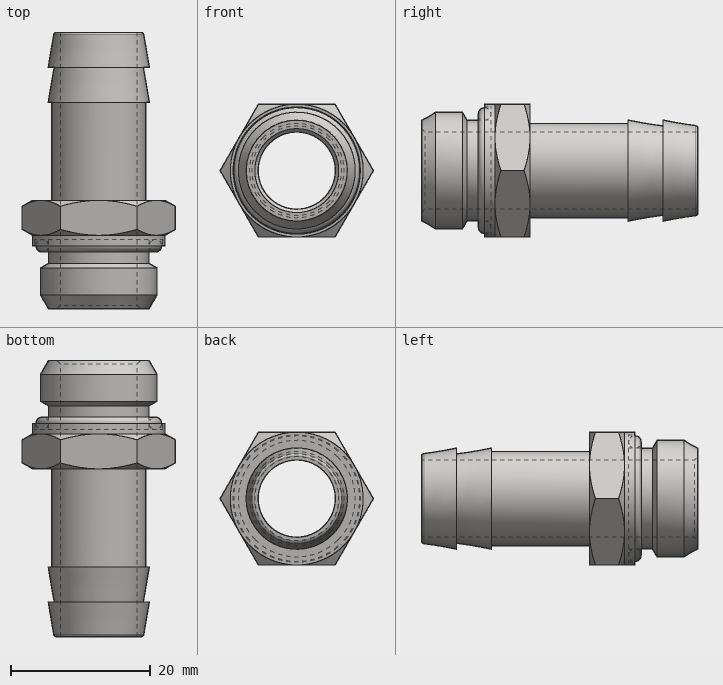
import cadquery as cq
import math


across_flats = 19.0
hex_length = 5.0
hex_chamfer_angle = 30.0
blank_allowance = 1.0
collar_radius = across_flats / 2
collar_length = 1.5

thread_radius = 8.35
neck_radius = 7.2
thread_end_y = -9.0
neck_length = 2.5
runout_angle = 30.0
lead_in_angle = 60.0

tail_length = 24.0
tail_radius = 6.75
barb_count = 2
barb_pitch = 5.0
barb_crest_radius = 7.25
barb_root_radius = 6.4
tip_round = 0.4

bore_radius = 5.5
bore_chamfer = 0.5

ring_section_radius = 0.9
ring_center_radius = neck_radius + ring_section_radius
groove_outer_radius = 9.1
groove_depth = ring_section_radius

hex_start_y = collar_length
hex_end_y = hex_start_y + hex_length
tail_end_y = hex_end_y + tail_length
thread_step = thread_radius - neck_radius
runout_length = thread_step * math.tan(math.radians(runout_angle))
lead_in_length = thread_step * math.tan(math.radians(lead_in_angle))


def revolve_about_y(profile):
    """Turn an outline, drawn as (radius, y), a full turn about the Y axis."""
    return profile.revolve(360, (0, 0, 0), (0, 1, 0))


def make_threaded_end():
    """Collar, neck and chamfered thread blank."""
    return revolve_about_y(
        cq.Workplane("XY")
        .moveTo(0, hex_start_y)
        .lineTo(collar_radius, hex_start_y)
        .lineTo(collar_radius, 0)
        .lineTo(neck_radius, 0)
        .lineTo(neck_radius, -neck_length)
        .lineTo(thread_radius, -neck_length - runout_length)
        .lineTo(thread_radius, thread_end_y + lead_in_length)
        .lineTo(neck_radius, thread_end_y)
        .lineTo(0, thread_end_y)
        .close()
    )


def make_hexagon():
    """Hexagon with corners on the X axis, its corners turned off conically at both ends."""
    flat_radius = across_flats / 2
    corner_radius = flat_radius / math.cos(math.pi / 6)
    prism = (
        cq.Workplane("XZ", origin=(0, hex_start_y, 0))
        .polygon(6, 2 * corner_radius)
        .extrude(-hex_length)
    )
    blank_radius = corner_radius + blank_allowance
    slope_length = (blank_radius - flat_radius) * math.tan(math.radians(hex_chamfer_angle))
    turned_blank = revolve_about_y(
        cq.Workplane("XY")
        .moveTo(0, hex_start_y)
        .lineTo(flat_radius, hex_start_y)
        .lineTo(blank_radius, hex_start_y + slope_length)
        .lineTo(blank_radius, hex_end_y - slope_length)
        .lineTo(flat_radius, hex_end_y)
        .lineTo(0, hex_end_y)
        .close()
    )
    return prism.intersect(turned_blank)


def make_hose_tail():
    """Plain tail followed by conical barbs that narrow towards the rounded tip."""
    barbs_start_y = tail_end_y - barb_count * barb_pitch
    profile = (
        cq.Workplane("XY")
        .moveTo(0, hex_end_y)
        .lineTo(tail_radius, hex_end_y)
        .lineTo(tail_radius, barbs_start_y)
    )
    for index in range(barb_count):
        crest_y = barbs_start_y + index * barb_pitch
        profile = profile.lineTo(barb_crest_radius, crest_y)
        profile = profile.lineTo(barb_root_radius, crest_y + barb_pitch)
    tail = revolve_about_y(profile.lineTo(0, tail_end_y).close())
    return tail.faces(">Y").edges().fillet(tip_round)


def make_bore():
    """Through bore, chamfered at the threaded end."""
    return revolve_about_y(
        cq.Workplane("XY")
        .moveTo(0, thread_end_y)
        .lineTo(bore_radius + bore_chamfer, thread_end_y)
        .lineTo(bore_radius, thread_end_y + bore_chamfer)
        .lineTo(bore_radius, tail_end_y)
        .lineTo(0, tail_end_y)
        .close()
    )


def make_ring_groove():
    """Annular groove around the neck, cut into the collar face."""
    return (
        cq.Workplane("XZ")
        .circle(groove_outer_radius)
        .circle(neck_radius)
        .extrude(-groove_depth)
    )


def make_fitting():
    """Fitting body with its bore and ring groove."""
    body = make_threaded_end().union(make_hexagon()).union(make_hose_tail())
    return body.cut(make_bore()).cut(make_ring_groove())


def make_sealing_ring():
    """O-ring around the neck, half sunk into the groove of the collar face."""
    section = cq.Workplane("XY").moveTo(ring_center_radius, 0).circle(ring_section_radius)
    return revolve_about_y(section)


fitting = make_fitting().solids()
sealing_ring = make_sealing_ring().solids()

result = cq.Compound.makeCompound([fitting.val(), sealing_ring.val()])